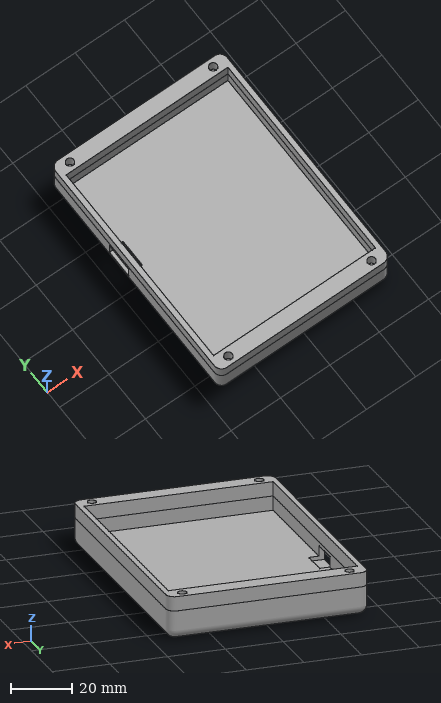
import cadquery as cq

case_width = 69.5
case_length = 93.0
case_height = 15.0
edge_radius = 3.0

frame_height = 5.0
tray_height = case_height - frame_height
floor_thickness = 5.0

side_wall = 2.0
end_wall = 6.0
cavity_width = case_width - 2 * side_wall
cavity_length = case_length - 2 * end_wall

screw_diameter = 3.0
screw_spacing_x = 58.0
screw_spacing_y = case_length - end_wall

port_reach = 5.5
port_width = 10.5
port_height = 5.0
port_bottom = 3.6
port_center_y = 8.75


def rounded_block(height, base_z):
    """Block with the case outline and rounded vertical corners."""
    return (
        cq.Workplane("XY", origin=(0, 0, base_z))
        .rect(case_width, case_length)
        .extrude(height)
        .edges("|Z")
        .fillet(edge_radius)
    )


def cavity():
    """Space inside the walls, from the floor to the top of the case."""
    return (
        cq.Workplane("XY", origin=(0, 0, floor_thickness))
        .rect(cavity_width, cavity_length)
        .extrude(case_height - floor_thickness)
    )


def connector_port():
    """Rectangular opening that runs inward from the -X face."""
    return (
        cq.Workplane("XY", origin=(-case_width / 2, port_center_y, port_bottom))
        .box(port_reach, port_width, port_height, centered=(False, True, False))
    )


def make_tray():
    """Lower body with a rounded bottom edge, a floor and the connector port."""
    block = rounded_block(tray_height, 0).faces("<Z").edges().fillet(edge_radius)
    return block.cut(cavity()).cut(connector_port())


def make_frame():
    """Upper rim with a screw hole through each corner."""
    screw_holes = (
        cq.Workplane("XY", origin=(0, 0, tray_height))
        .rect(screw_spacing_x, screw_spacing_y, forConstruction=True)
        .vertices()
        .circle(screw_diameter / 2)
        .extrude(frame_height)
    )
    return rounded_block(frame_height, tray_height).cut(cavity()).cut(screw_holes)


tray = make_tray()
frame = make_frame()

result = cq.Compound.makeCompound([tray.solids().val(), frame.solids().val()])